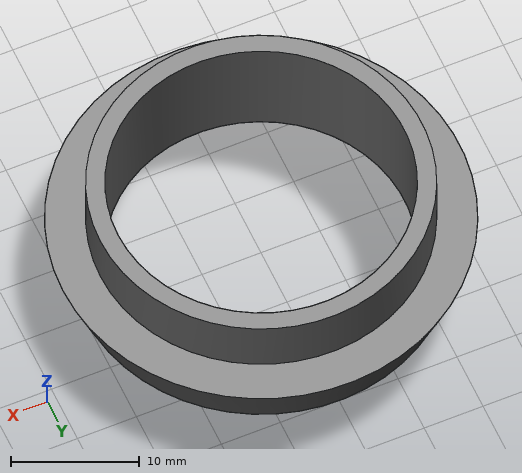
import cadquery as cq

flange_top_diameter = 33.65
flange_bottom_diameter = 30.02
collar_diameter = 27.25
bore_diameter = 24.27
total_height = 10.0
flange_height = total_height / 2

bore_radius = bore_diameter / 2
collar_radius = collar_diameter / 2
half_section = [
    (bore_radius, 0),
    (flange_bottom_diameter / 2, 0),
    (flange_top_diameter / 2, flange_height),
    (collar_radius, flange_height),
    (collar_radius, total_height),
    (bore_radius, total_height),
]

result = cq.Workplane("XZ").polyline(half_section).close().revolve(360, (0, 0), (0, 1))